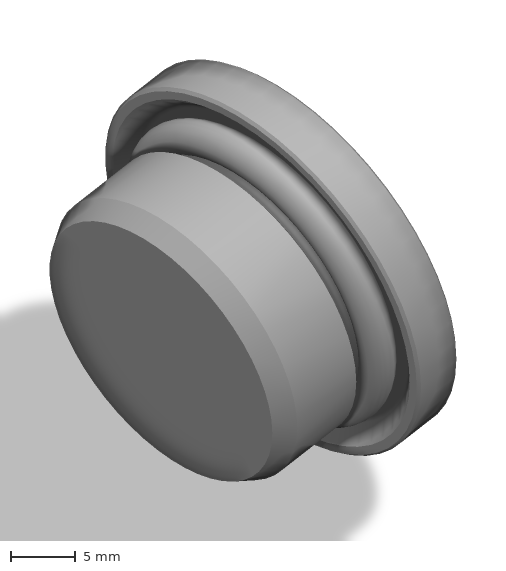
import cadquery as cq
import math

overall_length = 15.5
flange_radius = 17.0
flange_thickness = 4.4
flange_chamfer = 0.25

recess_mouth_radius = 16.0
recess_depth = 1.5
recess_cone_angle = 45.0
recess_fillet_radius = 0.5

groove_radius = 23.5 / 2
groove_front = 6.5
groove_flank_angle = 30.0

spigot_radius = 26.0 / 2
spigot_face_radius = 12.0
spigot_taper_angle = 30.0

ring_outer_radius = 14.0
ring_section_radius = 1.5
ring_center_radius = ring_outer_radius - ring_section_radius
recess_floor = flange_thickness - recess_depth
ring_center_depth = recess_floor + ring_section_radius


def tangent(angle):
    return math.tan(math.radians(angle))


def recess_fillet_point(angle):
    """Point of the fillet between recess cone and floor, at an angle from the floor normal."""
    corner_radius = recess_mouth_radius - recess_depth * tangent(recess_cone_angle)
    floor_slope = 90 - recess_cone_angle
    center_radius = corner_radius - recess_fillet_radius * tangent(floor_slope / 2)
    center_depth = recess_floor + recess_fillet_radius
    turn = math.radians(angle)
    radius = center_radius + recess_fillet_radius * math.sin(turn)
    depth = center_depth - recess_fillet_radius * math.cos(turn)
    return radius, -depth


def make_plug():
    """Revolve the half section of the flange, recess, groove and spigot."""
    flank_front = groove_front + (spigot_radius - groove_radius) * tangent(groove_flank_angle)
    taper_length = (spigot_radius - spigot_face_radius) / tangent(spigot_taper_angle)
    fillet_sweep = 90 - recess_cone_angle
    section = (
        cq.Workplane("XY")
        .lineTo(flange_radius - flange_chamfer, 0)
        .lineTo(flange_radius, -flange_chamfer)
        .lineTo(flange_radius, -(flange_thickness - flange_chamfer))
        .lineTo(flange_radius - flange_chamfer, -flange_thickness)
        .lineTo(recess_mouth_radius, -flange_thickness)
        .lineTo(*recess_fillet_point(fillet_sweep))
        .threePointArc(recess_fillet_point(fillet_sweep / 2), recess_fillet_point(0))
        .lineTo(groove_radius, -recess_floor)
        .lineTo(groove_radius, -groove_front)
        .lineTo(spigot_radius, -flank_front)
        .lineTo(spigot_radius, -(overall_length - taper_length))
        .lineTo(spigot_face_radius, -overall_length)
        .lineTo(0, -overall_length)
        .close()
    )
    return section.revolve(360, (0, 0), (0, 1))


def make_sealing_ring():
    """Revolve the round ring section about the plug axis."""
    return (
        cq.Workplane("XY")
        .center(ring_center_radius, -ring_center_depth)
        .circle(ring_section_radius)
        .revolve(360, (-ring_center_radius, 0), (-ring_center_radius, 1))
    )


sealing_ring = make_sealing_ring()
plug = make_plug().cut(sealing_ring)
result = cq.Compound.makeCompound([plug.val(), sealing_ring.val()])